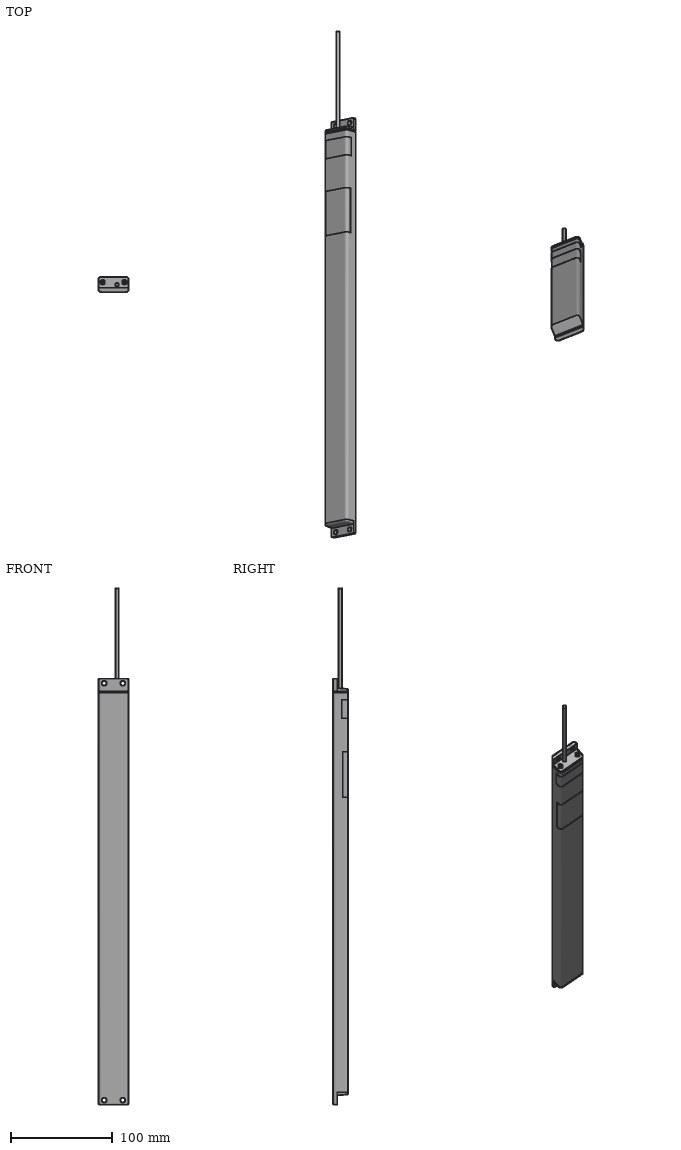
import cadquery as cq
import math

WIDTH = 30.0
DEPTH = 15.0
LENGTH = 506.5
CORNER = 3.0

BODY_LENGTH = 418.0
TAB_LENGTH = 9.0
TAB_THICKNESS = 4.5
END_ROUNDING = 1.5
END_SLOPE = 5

HOLE_DIAMETER = 4.5
HOLE_SPACING = 18.0
HOLE_END_GAP = 4.5

CAP_THICKNESS = 3.0
GASKET_THICKNESS = 1.5
GASKET_INSET = 1.0

SCREW_HOLE_SPACING = 21.5
SCREW_HOLE_DIAMETER = 2.0
SCREW_HEAD_DIAMETER = 4.5
SCREW_HEAD_DEPTH = 1.5

CABLE_DIAMETER = 3.5
CABLE_X = 3.5
CABLE_Y = -0.25

LABEL_DEPTH = 0.1
UPPER_LABEL_TOP = 144.0
UPPER_LABEL_BOTTOM = 125.5
UPPER_LABEL_EDGE_Y = 1.0
LOWER_LABEL_TOP = 92.5
LOWER_LABEL_BOTTOM = 48.0
LOWER_LABEL_EDGE_Y = 2.0

BOTTOM = -LENGTH / 2
TOP = BOTTOM + BODY_LENGTH
LOWER_BLOCK_END = BOTTOM + TAB_LENGTH
UPPER_BLOCK_END = TOP - TAB_LENGTH
LOWER_CAP_JOINT = LOWER_BLOCK_END + CAP_THICKNESS
GASKET_TOP = UPPER_BLOCK_END - CAP_THICKNESS
HOUSING_TOP = GASKET_TOP - GASKET_THICKNESS
CABLE_END = LENGTH / 2
BACK_Y = DEPTH / 2
TAB_BACK_Y = TAB_THICKNESS - BACK_Y
BLOCK_MIDDLE_Y = (TAB_BACK_Y + BACK_Y) / 2
SLOPE_DROP = (BACK_Y - TAB_BACK_Y) * math.tan(math.radians(END_SLOPE))


def profile_bar(bottom, top, inset=0.0):
    """Rounded rectangular bar between two levels, its sides moved in by inset."""
    return (
        cq.Workplane("XY", origin=(0, 0, bottom))
        .rect(WIDTH - 2 * inset, DEPTH - 2 * inset)
        .extrude(top - bottom)
        .edges("|Z")
        .fillet(CORNER - inset)
    )


def space_behind(y, bottom, top):
    """Block that covers everything behind the plane at y, between two levels."""
    return (
        cq.Workplane("XY", origin=(0, y + DEPTH, bottom))
        .rect(2 * WIDTH, 2 * DEPTH)
        .extrude(top - bottom)
    )


def sloped_block(joint, end, end_face):
    """Thick part of an end cap, from its joint to its rounded end that falls away to the back."""
    drop = math.copysign(SLOPE_DROP, joint - end)
    wedge = (
        cq.Workplane("YZ", origin=(-WIDTH, 0, 0))
        .moveTo(TAB_BACK_Y, end)
        .lineTo(-BACK_Y, end)
        .lineTo(-BACK_Y, joint)
        .lineTo(BACK_Y, joint)
        .lineTo(BACK_Y, end + drop)
        .close()
        .extrude(2 * WIDTH)
    )
    low = min(joint, end)
    high = max(joint, end)
    block = profile_bar(low, high).intersect(wedge)
    block = block.intersect(space_behind(TAB_BACK_Y, low, high))
    return block.faces(end_face).edges("not(<Y)").fillet(END_ROUNDING)


def mounting_holes(level):
    """Pair of drills along Y, centred at a level."""
    return (
        cq.Workplane("XZ", origin=(0, DEPTH, level))
        .rarray(HOLE_SPACING, 5, 2, 1)
        .circle(HOLE_DIAMETER / 2)
        .extrude(2 * DEPTH)
    )


def screw_drills(diameter, bottom):
    """Pair of drills along Z that open at the upper end of the thick part."""
    return (
        cq.Workplane("XY", origin=(0, BLOCK_MIDDLE_Y, bottom))
        .rarray(SCREW_HOLE_SPACING, 5, 2, 1)
        .circle(diameter / 2)
        .extrude(UPPER_BLOCK_END - bottom)
    )


def label_recess(bottom, top, edge_y):
    """Thin skin of the profile behind edge_y, between two levels."""
    skin = profile_bar(bottom, top).cut(profile_bar(bottom, top, LABEL_DEPTH))
    return skin.intersect(space_behind(edge_y, bottom, top))


def make_housing():
    """Long bar whose front runs on past the bottom cap as a tab."""
    bar = profile_bar(BOTTOM, HOUSING_TOP).faces("<Z").edges().fillet(END_ROUNDING)
    bar = bar.cut(space_behind(TAB_BACK_Y, BOTTOM, LOWER_CAP_JOINT))
    bar = bar.cut(mounting_holes(BOTTOM + HOLE_END_GAP))
    bar = bar.cut(label_recess(UPPER_LABEL_BOTTOM, UPPER_LABEL_TOP, UPPER_LABEL_EDGE_Y))
    return bar.cut(label_recess(LOWER_LABEL_BOTTOM, LOWER_LABEL_TOP, LOWER_LABEL_EDGE_Y))


def make_bottom_cap():
    """Plate that closes the thick part of the housing, behind the lower tab."""
    return sloped_block(LOWER_CAP_JOINT, LOWER_BLOCK_END, "<Z")


def make_gasket():
    """Thin plate between the housing and the top cap."""
    return profile_bar(HOUSING_TOP, GASKET_TOP, GASKET_INSET)


def make_top_cap():
    """Plate with the upper tab rising from its front and two counterbored screw holes."""
    tab = profile_bar(GASKET_TOP, TOP).faces(">Z").edges().fillet(END_ROUNDING)
    tab = tab.cut(space_behind(TAB_BACK_Y, GASKET_TOP, TOP))
    plate = sloped_block(GASKET_TOP, UPPER_BLOCK_END, ">Z")
    cap = tab.union(plate).cut(mounting_holes(TOP - HOLE_END_GAP))
    cap = cap.cut(screw_drills(SCREW_HEAD_DIAMETER, UPPER_BLOCK_END - SCREW_HEAD_DEPTH))
    return cap.cut(screw_drills(SCREW_HOLE_DIAMETER, GASKET_TOP))


def make_cable(top_cap):
    """Round cable that stands on the sloped end of the top cap."""
    blank = (
        cq.Workplane("XY", origin=(CABLE_X, CABLE_Y, GASKET_TOP))
        .circle(CABLE_DIAMETER / 2)
        .extrude(CABLE_END - GASKET_TOP)
    )
    return blank.cut(top_cap)


housing = make_housing()
bottom_cap = make_bottom_cap()
gasket = make_gasket()
top_cap = make_top_cap()
cable = make_cable(top_cap)

bodies = [housing, bottom_cap, gasket, top_cap, cable]
result = cq.Compound.makeCompound([body.val().Solids()[0] for body in bodies])